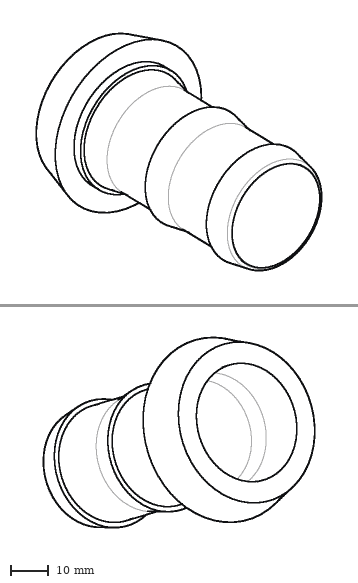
import math

import cadquery as cq

TOTAL_LENGTH = 75.0

FLANGE_RADIUS = 25.0
FLANGE_LENGTH = 12.2
FLANGE_ANGLE = 15.0
FLANGE_FACE_RADIUS = FLANGE_RADIUS - FLANGE_LENGTH * math.tan(math.radians(FLANGE_ANGLE))

COLLAR_RADIUS = 18.6
COLLAR_END = 15.0

TAIL_RADIUS = 16.0
BARB_RADIUS = 17.4
BARB_ANGLE = 10.0
BARB_LENGTH = (BARB_RADIUS - TAIL_RADIUS) / math.tan(math.radians(BARB_ANGLE))
BARB_COUNT = 3
BARB_PITCH = (TOTAL_LENGTH - BARB_LENGTH - COLLAR_END) / (BARB_COUNT - 1)
TIP_FILLET = 0.9

ENTRY_RADIUS = 16.0
ENTRY_DEPTH = 15.0
BORE_RADIUS = 15.0
TAPER_ANGLE = 10.0
TAPER_LENGTH = (ENTRY_RADIUS - BORE_RADIUS) / math.tan(math.radians(TAPER_ANGLE))


def turn(points):
    """Turn the area between an (X, radius) line and the X axis about that axis."""
    start = points[0][0]
    end = points[-1][0]
    outline = [(start, 0), *points, (end, 0)]
    return cq.Workplane("XY").polyline(outline).close().revolve(360, (0, 0, 0), (1, 0, 0))


def make_flange():
    """Cone that widens from the sealing face to the back of the flange."""
    return turn([(0, FLANGE_FACE_RADIUS), (FLANGE_LENGTH, FLANGE_RADIUS)])


def make_collar():
    """Plain cylinder that shows between the flange and the first barb."""
    return turn([(0, COLLAR_RADIUS), (COLLAR_END, COLLAR_RADIUS)])


def make_tail():
    """Plain cylinder that carries the barbs."""
    return turn([(0, TAIL_RADIUS), (TOTAL_LENGTH, TAIL_RADIUS)])


def make_barb(start):
    """Cone that narrows from the barb edge down to the tail."""
    return turn([(start, BARB_RADIUS), (start + BARB_LENGTH, TAIL_RADIUS)])


def make_bore():
    """Wide entry, tapered step and through bore as one cutting body."""
    return turn([
        (0, ENTRY_RADIUS),
        (ENTRY_DEPTH, ENTRY_RADIUS),
        (ENTRY_DEPTH + TAPER_LENGTH, BORE_RADIUS),
        (TOTAL_LENGTH, BORE_RADIUS),
    ])


body = make_flange().union(make_collar()).union(make_tail())
for index in range(BARB_COUNT):
    body = body.union(make_barb(COLLAR_END + index * BARB_PITCH))

body = body.faces(">X").edges().fillet(TIP_FILLET)

result = body.cut(make_bore())